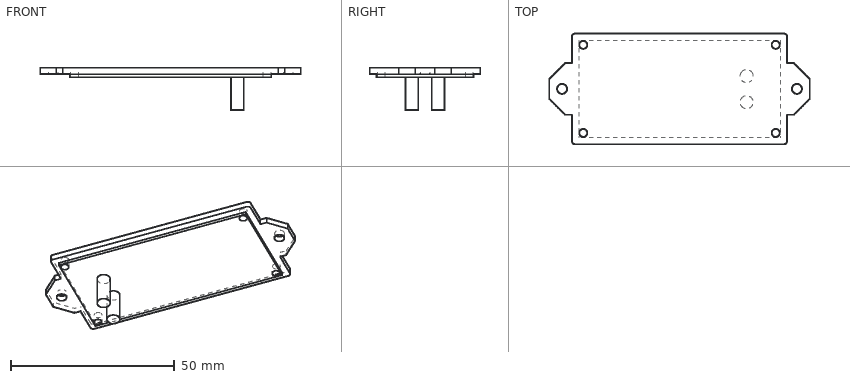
import cadquery as cq

overall_length = 80.0
body_length = 66.0
body_width = 34.0
plate_thickness = 2.0
body_corner_radius = 1.0

tab_width = 16.0
tab_chamfer = 5.0
tab_hole_diameter = 3.0
tab_hole_spacing = 72.0

corner_hole_diameter = 2.4
corner_hole_spacing_x = 59.0
corner_hole_spacing_y = 27.0

step_length = 61.8
step_width = 29.8
step_height = 1.0

pin_diameter = 4.0
pin_length = 10.0
pin_x = 20.5
pin_spacing_y = 8.0


def make_plate():
    """Body with rounded corners joined to the chamfered tab strip; underside at Z = 0."""
    body = (
        cq.Workplane("XY")
        .rect(body_length, body_width)
        .extrude(plate_thickness)
        .edges("|Z")
        .fillet(body_corner_radius)
    )
    tab_strip = (
        cq.Workplane("XY")
        .rect(overall_length, tab_width)
        .extrude(plate_thickness)
        .edges("|Z")
        .chamfer(tab_chamfer)
    )
    return body.union(tab_strip)


def make_step():
    """Shallow rectangular step that hangs below the plate."""
    return cq.Workplane("XY").rect(step_length, step_width).extrude(-step_height)


def make_pins():
    """Two round pins that hang below the step."""
    return (
        cq.Workplane("XY", origin=(pin_x, 0, -step_height))
        .rarray(1, pin_spacing_y, 1, 2)
        .circle(pin_diameter / 2)
        .extrude(-pin_length)
    )


def make_hole_cutters(centres, diameter):
    """Cylinders that reach through the step and the plate at the given centres."""
    return (
        cq.Workplane("XY", origin=(0, 0, -step_height))
        .pushPoints(centres)
        .circle(diameter / 2)
        .extrude(plate_thickness + step_height)
    )


corner_centres = [
    (side_x * corner_hole_spacing_x / 2, side_y * corner_hole_spacing_y / 2)
    for side_x in (-1, 1)
    for side_y in (-1, 1)
]
tab_centres = [(side_x * tab_hole_spacing / 2, 0) for side_x in (-1, 1)]

result = (
    make_plate()
    .union(make_step())
    .union(make_pins())
    .cut(make_hole_cutters(corner_centres, corner_hole_diameter))
    .cut(make_hole_cutters(tab_centres, tab_hole_diameter))
)